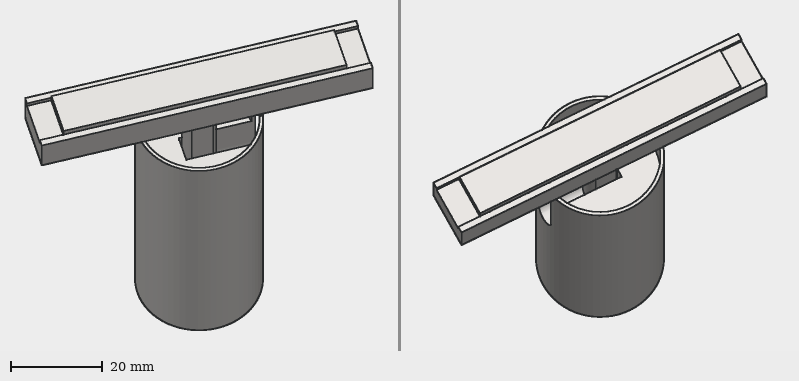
import cadquery as cq
import math


SIDES = 64

BODY_DIAMETER = 28.0
BODY_HEIGHT = 60.0
CUP_WALL = 0.8
CUP_DEPTH = 10.0
SLOT_WIDTH = 6.0
SLOT_DEPTH = 20.6

STEM_DIAMETER = 7.5
STEM_ACROSS_FLATS = 5.6
STEM_EXPOSED = 5.85

RAIL_LENGTH = 75.0
RAIL_WIDTH = 13.2
RAIL_HEIGHT = 7.5
GROOVE_WIDTH = 10.2
GROOVE_DEPTH = 1.0

STRIP_LENGTH = 64.05
STRIP_WIDTH = 9.7
STRIP_PROUD = 1.0

slot_radius = SLOT_WIDTH / 2
slot_bottom = BODY_HEIGHT - SLOT_DEPTH
slot_start = -STEM_DIAMETER / 2
slot_length = BODY_DIAMETER / 2 - slot_start
slot_arc_height = slot_bottom + slot_radius
stem_bottom = slot_arc_height - math.sqrt(slot_radius**2 - (STEM_ACROSS_FLATS / 2) ** 2)
rail_bottom = BODY_HEIGHT + STEM_EXPOSED
rail_top = rail_bottom + RAIL_HEIGHT
groove_floor = rail_top - GROOVE_DEPTH


def round_prism(diameter, bottom, top):
    """Many-sided upright prism on the Z axis; the diameter is measured across its corners."""
    base = cq.Workplane("XY").workplane(offset=bottom)
    return base.polygon(SIDES, diameter).extrude(top - bottom)


def centred_box(width, length, bottom, top):
    """Upright box centred on the Z axis: width along X, length along Y."""
    base = cq.Workplane("XY").workplane(offset=bottom)
    return base.rect(width, length).extrude(top - bottom)


def swing_slot():
    """Round-bottomed slot from behind the stem out through the +Y side of the lamp body."""
    return (
        cq.Workplane("XZ", origin=(0, slot_start, 0))
        .moveTo(-slot_radius, BODY_HEIGHT)
        .lineTo(-slot_radius, slot_arc_height)
        .threePointArc((0, slot_bottom), (slot_radius, slot_arc_height))
        .lineTo(slot_radius, BODY_HEIGHT)
        .close()
        .extrude(-slot_length)
    )


def round_cup():
    """Smooth round hollow in the top of the lamp body."""
    base = cq.Workplane("XY").workplane(offset=BODY_HEIGHT - CUP_DEPTH)
    return base.circle(BODY_DIAMETER / 2 - CUP_WALL).extrude(CUP_DEPTH)


def make_lamp_body():
    body = round_prism(BODY_DIAMETER, 0, BODY_HEIGHT)
    cup = round_cup()
    return body.cut(cup).cut(swing_slot())


def make_stem():
    bar = round_prism(STEM_DIAMETER, stem_bottom, rail_bottom)
    flats = centred_box(STEM_ACROSS_FLATS, STEM_DIAMETER, stem_bottom, rail_bottom)
    return bar.intersect(flats)


def make_rail():
    bar = centred_box(RAIL_WIDTH, RAIL_LENGTH, rail_bottom, rail_top)
    groove = centred_box(GROOVE_WIDTH, RAIL_LENGTH, groove_floor, rail_top)
    strip = centred_box(STRIP_WIDTH, STRIP_LENGTH, groove_floor, rail_top + STRIP_PROUD)
    return bar.cut(groove).union(strip)


def make_mount():
    """Rail and stem in one piece."""
    return make_rail().union(make_stem())


lamp_body = make_lamp_body()
mount = make_mount()

result = cq.Compound.makeCompound([lamp_body.val(), mount.val()])